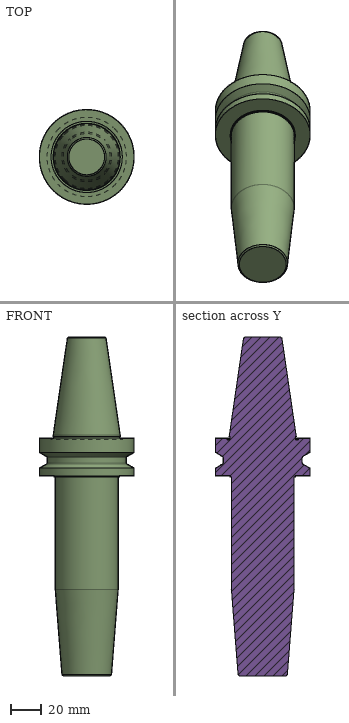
import cadquery as cq

total_height = 225.5

taper_ratio = 7 / 24
taper_length = 65.4
taper_base_radius = 22.3
taper_top_radius = taper_base_radius - taper_length * taper_ratio / 2
taper_base_z = total_height - taper_length
taper_top_chamfer = 1.0

flange_radius = 31.5
flange_gap = 2.0
flange_thickness = 25.0
flange_top_z = taper_base_z - flange_gap
flange_bottom_z = flange_top_z - flange_thickness
groove_center_z = 143.4
groove_floor_radius = 26.4
groove_floor_width = 4.5
groove_floor_fillet = 1.0
groove_mouth_width = 10.4

relief_outer_radius = 23.7
relief_depth = 1.0
neck_radius = 22.0
neck_top_z = taper_base_z - 1.0

body_radius = 21.0
nose_length = 57.5
nose_tip_radius = 16.5
nose_tip_chamfer = 1.0

collar_radius = 21.6
collar_height = 1.0

edge_margin = 0.2


def edges_between(low_z, high_z):
    reach = flange_radius + 2.3
    low_corner = (-reach, -reach, low_z - edge_margin)
    high_corner = (reach, reach, high_z + edge_margin)
    return cq.selectors.BoxSelector(low_corner, high_corner, boundingbox=True)


def make_taper():
    taper = (
        cq.Workplane("XZ")
        .moveTo(0, flange_top_z - relief_depth)
        .lineTo(neck_radius, flange_top_z - relief_depth)
        .lineTo(neck_radius, neck_top_z)
        .lineTo(taper_base_radius, neck_top_z)
        .lineTo(taper_base_radius, taper_base_z)
        .lineTo(taper_top_radius, total_height)
        .lineTo(0, total_height)
        .close()
        .revolve(360, (0, 0, 0), (0, 1, 0))
    )
    return taper.faces(">Z").chamfer(taper_top_chamfer)


def make_flange():
    floor_half = groove_floor_width / 2
    mouth_half = groove_mouth_width / 2
    flange = (
        cq.Workplane("XZ")
        .moveTo(0, flange_bottom_z)
        .lineTo(flange_radius, flange_bottom_z)
        .lineTo(flange_radius, groove_center_z - mouth_half)
        .lineTo(groove_floor_radius, groove_center_z - floor_half)
        .lineTo(groove_floor_radius, groove_center_z + floor_half)
        .lineTo(flange_radius, groove_center_z + mouth_half)
        .lineTo(flange_radius, flange_top_z)
        .lineTo(0, flange_top_z)
        .close()
        .revolve(360, (0, 0, 0), (0, 1, 0))
    )
    floor_edges = edges_between(groove_center_z - floor_half, groove_center_z + floor_half)
    flange = flange.edges(floor_edges).edges("%CIRCLE").fillet(groove_floor_fillet)
    relief = (
        cq.Workplane("XY", origin=(0, 0, flange_top_z - relief_depth))
        .circle(relief_outer_radius)
        .extrude(relief_depth)
    )
    return flange.cut(relief)


def make_body():
    body = (
        cq.Workplane("XZ")
        .lineTo(nose_tip_radius, 0)
        .lineTo(body_radius, nose_length)
        .lineTo(body_radius, flange_bottom_z - collar_height)
        .lineTo(collar_radius, flange_bottom_z - collar_height)
        .lineTo(collar_radius, flange_bottom_z)
        .lineTo(0, flange_bottom_z)
        .close()
        .revolve(360, (0, 0, 0), (0, 1, 0))
    )
    return body.faces("<Z").chamfer(nose_tip_chamfer)


result = make_body().union(make_flange()).union(make_taper())